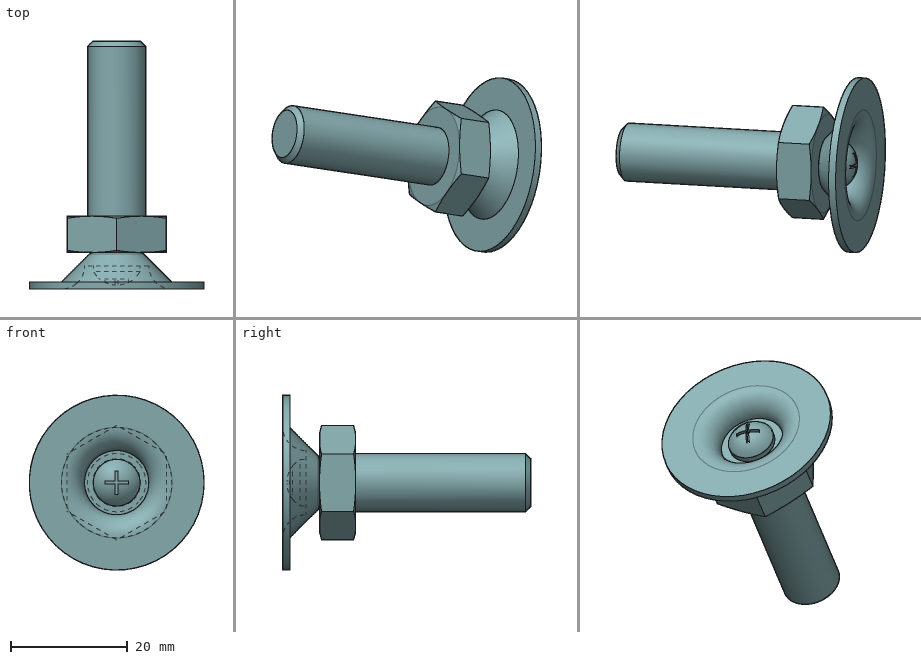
import cadquery as cq
import math


FOOT_DIAMETER = 30.0
FLANGE_THICKNESS = 1.25
CONE_BASE_RADIUS = 9.45
CONE_TOP_ROUNDING = 1.0

RECESS_RIM_RADIUS = 9.5
RECESS_DEPTH = 4.0

HEAD_DIAMETER = 8.0
HEAD_RIM_HEIGHT = 1.0
HEAD_DOME_HEIGHT = 2.3
SLOT_LENGTH = 4.0
SLOT_WIDTH = 0.5
SLOT_DEPTH = 1.0

NUT_SIDES = 6
NUT_ACROSS_FLATS = 17.0
NUT_START = 6.3
NUT_HEIGHT = 6.2
NUT_CHAMFER_ANGLE = 15.0

SHANK_DIAMETER = 10.0
SHANK_LENGTH = 30.0
SHANK_CHAMFER = 0.9

NUT_END = NUT_START + NUT_HEIGHT
SHANK_END = NUT_END + SHANK_LENGTH
COS_45 = math.sqrt(0.5)


def revolve_about_y(profile):
    """Turn a closed (radius, Y) profile drawn in the XY plane into a solid of revolution."""
    return profile.close().revolve(360, (0, 0, 0), (0, 1, 0))


def make_foot():
    """Flange and 45-degree cone with a rounded top against the nut, and the recess left open."""
    cone_top = NUT_START - CONE_TOP_ROUNDING * (1 - COS_45)
    cone_top_radius = CONE_BASE_RADIUS - (cone_top - FLANGE_THICKNESS)
    flat_top_radius = cone_top_radius - CONE_TOP_ROUNDING * COS_45
    floor_radius = RECESS_RIM_RADIUS - RECESS_DEPTH
    arc_offset = RECESS_DEPTH * COS_45
    arc_middle = (RECESS_RIM_RADIUS - arc_offset, RECESS_DEPTH - arc_offset)
    return revolve_about_y(
        cq.Workplane("XY")
        .moveTo(0, RECESS_DEPTH)
        .lineTo(floor_radius, RECESS_DEPTH)
        .threePointArc(arc_middle, (RECESS_RIM_RADIUS, 0))
        .lineTo(FOOT_DIAMETER / 2, 0)
        .lineTo(FOOT_DIAMETER / 2, FLANGE_THICKNESS)
        .lineTo(CONE_BASE_RADIUS, FLANGE_THICKNESS)
        .lineTo(cone_top_radius, cone_top)
        .tangentArcPoint((flat_top_radius, NUT_START), relative=False)
        .lineTo(0, NUT_START)
    )


def make_rivet_head():
    """Domed head standing on the recess floor, cut by the cross slot."""
    radius = HEAD_DIAMETER / 2
    dome_base = RECESS_DEPTH - HEAD_RIM_HEIGHT
    dome_top = dome_base - HEAD_DOME_HEIGHT
    sphere_radius = (radius**2 + HEAD_DOME_HEIGHT**2) / (2 * HEAD_DOME_HEIGHT)
    middle_radius = radius / 2
    middle_y = dome_top + sphere_radius - math.sqrt(sphere_radius**2 - middle_radius**2)
    head = revolve_about_y(
        cq.Workplane("XY")
        .moveTo(0, RECESS_DEPTH)
        .lineTo(radius, RECESS_DEPTH)
        .lineTo(radius, dome_base)
        .threePointArc((middle_radius, middle_y), (0, dome_top))
    )
    for size_x, size_z in ((SLOT_LENGTH, SLOT_WIDTH), (SLOT_WIDTH, SLOT_LENGTH)):
        slot = cq.Workplane("XY").box(size_x, SLOT_DEPTH, size_z)
        head = head.cut(slot.translate((0, dome_top + SLOT_DEPTH / 2, 0)))
    return head


def make_nut():
    """Hexagonal prism with conical chamfers cutting the corners at both ends."""
    flat_radius = NUT_ACROSS_FLATS / 2
    corner_radius = flat_radius / math.cos(math.pi / NUT_SIDES)
    chamfer_height = (corner_radius - flat_radius) * math.tan(math.radians(NUT_CHAMFER_ANGLE))
    hexagon = (
        cq.Workplane("XZ", origin=(0, NUT_END, 0))
        .transformed(rotate=(0, 0, 90))
        .polygon(NUT_SIDES, 2 * corner_radius)
        .extrude(NUT_HEIGHT)
    )
    envelope = revolve_about_y(
        cq.Workplane("XY")
        .moveTo(0, NUT_START)
        .lineTo(flat_radius, NUT_START)
        .lineTo(corner_radius, NUT_START + chamfer_height)
        .lineTo(corner_radius, NUT_END - chamfer_height)
        .lineTo(flat_radius, NUT_END)
        .lineTo(0, NUT_END)
    )
    return hexagon.intersect(envelope)


def make_shank():
    """Plain round shank with a chamfered free end."""
    return (
        cq.Workplane("XZ", origin=(0, SHANK_END, 0))
        .circle(SHANK_DIAMETER / 2)
        .extrude(SHANK_LENGTH)
        .faces(">Y")
        .chamfer(SHANK_CHAMFER)
    )


result = make_foot().union(make_rivet_head()).union(make_nut()).union(make_shank())